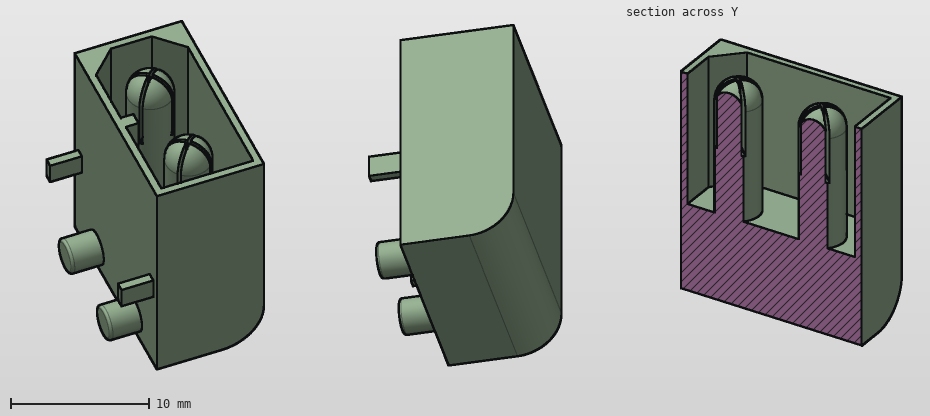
import cadquery as cq

width = 15.5
depth = 8.4
height = 18.2
back_radius = 3.28

wall = 0.6
socket_depth = 10.92
corner_cut = 2.0
key_size = 0.98

pitch = 7.2
pin_diameter = 3.51
split_width = 0.25
split_depth = 5.46

tail_length = 2.5
tail_diameter = 2.7
tail_rounding = 0.22
tail_height = 1.85
leg_width = 0.7
leg_height = 1.71
leg_inset = 0.67
leg_bottom = 6.99

socket_floor = height - socket_depth
contact_positions = (-pitch / 2, pitch / 2)


def make_housing():
    """Block with a rounded lower back edge."""
    block = cq.Workplane("XY").box(width, depth, height, centered=(True, False, False))
    return block.faces(">Y").edges("<Z").fillet(back_radius)


def make_socket():
    """Socket volume with two cut corners on the -X side and a key left standing."""
    socket_width = width - 2 * wall
    socket_length = depth - 2 * wall
    socket = (
        cq.Workplane("XY", origin=(0, depth / 2, socket_floor))
        .rect(socket_width, socket_length)
        .extrude(socket_depth)
        .edges("|Z and <X")
        .chamfer(corner_cut)
    )
    key = (
        cq.Workplane("XY", origin=(0, wall, socket_floor))
        .box(key_size, key_size, socket_depth, centered=(True, False, False))
    )
    return socket.cut(key)


def make_pin(x):
    """Round contact with a hemispherical tip split by two diagonal slots."""
    radius = pin_diameter / 2
    pin = (
        cq.Workplane("XY", origin=(x, depth / 2, socket_floor))
        .circle(radius)
        .extrude(height - radius - socket_floor)
    )
    dome = cq.Workplane("XY", origin=(x, depth / 2, height - radius)).sphere(radius)
    pin = pin.union(dome)
    for angle in (45, -45):
        slot = (
            cq.Workplane("XY")
            .box(2 * pin_diameter, split_width, split_depth)
            .rotate((0, 0, 0), (0, 0, 1), angle)
            .translate((x, depth / 2, height - split_depth / 2))
        )
        pin = pin.cut(slot)
    return pin


def make_tail(x):
    """Round solder tail with a rounded end."""
    return (
        cq.Workplane("XZ", origin=(x, 0, tail_height))
        .circle(tail_diameter / 2)
        .extrude(tail_length)
        .faces("<Y")
        .edges()
        .fillet(tail_rounding)
    )


def make_leg(x):
    """Flat rectangular locating leg."""
    return (
        cq.Workplane("XZ", origin=(x, 0, leg_bottom + leg_height / 2))
        .rect(leg_width, leg_height)
        .extrude(tail_length)
    )


result = make_housing().cut(make_socket())
for contact_x in contact_positions:
    result = result.union(make_pin(contact_x))
    result = result.union(make_tail(contact_x))

leg_offset = width / 2 - leg_inset - leg_width / 2
for leg_x in (-leg_offset, leg_offset):
    result = result.union(make_leg(leg_x))